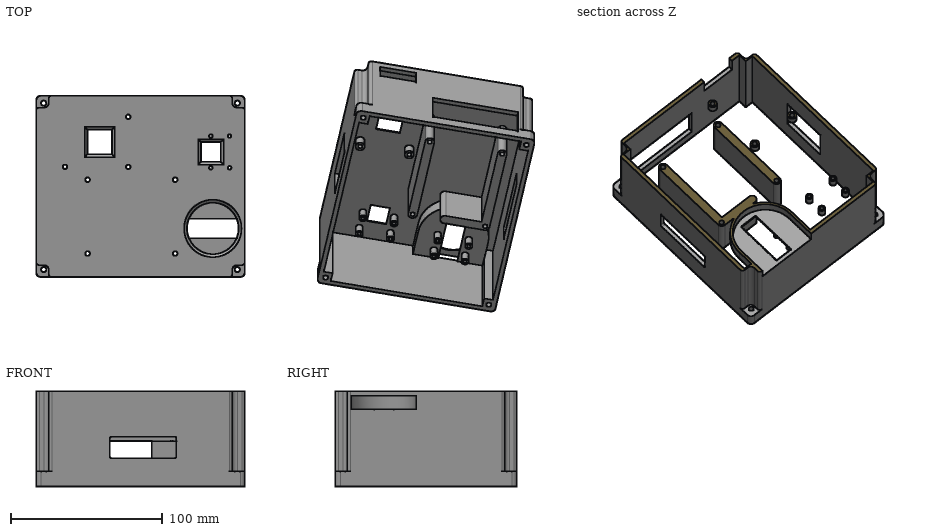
import cadquery as cq

LENGTH = 138.0
WIDTH = 120.0
HEIGHT = 63.0
WALL = 3.0
CEILING = HEIGHT - WALL
BASE_CORNER_RADIUS = 3.2
CUT_MARGIN = 1.0

FOOT_HEIGHT = 10.0
NOTCH_X = 8.3
NOTCH_Y = 7.9
NOTCH_WALL = 1.0
NOTCH_INNER_RADIUS = 3.1
NOTCH_OUTER_RADIUS = 2.1
FOOT_HOLE_X = 64.0
FOOT_HOLE_Y = 55.0
FOOT_HOLE_DIAMETER = 3.3
CORNERS = [(sx, sy) for sx in (-1, 1) for sy in (-1, 1)]

BEVEL = 2.0
DISPLAY_SIZE = 16.0
DISPLAY_CENTER = (-27.0, 29.4)
SENSOR_SIZE = 12.9
SENSOR_CENTER = (46.5, 22.8)
LENS_DIAMETER = 34.0
LENS_CENTER = (47.8, -27.8)

SCREW_BOSS_DIAMETER = 6.0
BOARD_PILOT_DIAMETER = 2.8
BOARD_BOSS_LENGTH = 7.0
BOARD_HOLES = [(-8.1, 46.0), (-8.1, 12.9), (-49.9, 12.9)]

SENSOR_BOSS_DIAMETER = 4.75
SENSOR_PILOT_DIAMETER = 2.2
SENSOR_BOSS_LENGTH = 7.7
SENSOR_PITCH_X = 12.4
SENSOR_PITCH_Y = 21.0

RIB_BOTTOM = 30.0
RIB_PILOT_DIAMETER = 2.93
RIB_LEFT_X = -35.0
RIB_RIGHT_X = 22.9
RIB_FRONT_Y = -44.4
RIB_BACK_Y = 4.4
SIDE_RIB_END_Y = -17.2

TRAY_RADIUS = 21.5
TRAY_WALL = 2.0
TRAY_FLOOR = 51.0
TRAY_FLOOR_THICKNESS = 1.2
TRAY_SLOT_WIDTH = 12.8

FRONT_SLOT_X = (-20.2, 23.7)
FRONT_SLOT_Z = (18.8, 32.9)
FRONT_SLOT_RADIUS = 1.0
LOWER_WINDOW_Y = (-48.4, 9.0)
LOWER_WINDOW_Z = (7.5, 30.7)
UPPER_WINDOW_Y = (20.1, 44.6)
UPPER_WINDOW_Z = (46.8, 57.8)
BACK_WINDOW_X = (-25.0, 7.3)
BACK_WINDOW_Z = (15.0, 39.2)


def box_between(x_limits, y_limits, z_limits):
    """Box spanning the given (low, high) limits on each axis."""
    limits = (x_limits, y_limits, z_limits)
    sizes = [high - low for low, high in limits]
    origin = tuple(low for low, high in limits)
    return cq.Workplane("XY").box(*sizes, centered=False).translate(origin)


def cylinder(center, diameter, bottom, top):
    """Upright cylinder between two heights."""
    plane = cq.Workplane("XY").workplane(offset=bottom)
    return plane.center(*center).circle(diameter / 2).extrude(top - bottom)


def corner_block(sx, sy, size_x, size_y, z_limits):
    """Rectangular block filling one corner of the outer rectangle."""
    x_limits = sorted((sx * LENGTH / 2, sx * (LENGTH / 2 - size_x)))
    y_limits = sorted((sy * WIDTH / 2, sy * (WIDTH / 2 - size_y)))
    return box_between(x_limits, y_limits, z_limits)


def upper_body():
    """Full-height block with rounded rectangular notches at its corners."""
    body = cq.Workplane("XY").box(LENGTH, WIDTH, HEIGHT, centered=(True, True, False))
    for sx, sy in CORNERS:
        body = body.cut(corner_block(sx, sy, NOTCH_X, NOTCH_Y, (0, HEIGHT)))
    for sx, sy in CORNERS:
        inner_x = sx * (LENGTH / 2 - NOTCH_X)
        inner_y = sy * (WIDTH / 2 - NOTCH_Y)
        middle = HEIGHT / 2
        inner = cq.selectors.NearestToPointSelector((inner_x, inner_y, middle))
        body = body.edges(inner).fillet(NOTCH_INNER_RADIUS)
        for point in ((sx * LENGTH / 2, inner_y, middle), (inner_x, sy * WIDTH / 2, middle)):
            outer = cq.selectors.NearestToPointSelector(point)
            body = body.edges(outer).fillet(NOTCH_OUTER_RADIUS)
    return body


def base():
    """Rounded rectangular base layer that forms the screw feet."""
    block = cq.Workplane("XY").box(LENGTH, WIDTH, FOOT_HEIGHT, centered=(True, True, False))
    return block.edges("|Z").fillet(BASE_CORNER_RADIUS)


def cavity():
    """Interior space, stepped in at the corners to keep the wall around each notch."""
    x_limits = (WALL - LENGTH / 2, LENGTH / 2 - WALL)
    y_limits = (WALL - WIDTH / 2, WIDTH / 2 - WALL)
    space = box_between(x_limits, y_limits, (0, CEILING))
    for sx, sy in CORNERS:
        post = corner_block(sx, sy, NOTCH_X + NOTCH_WALL, NOTCH_Y + NOTCH_WALL, (0, CEILING))
        space = space.cut(post)
    return space


def shell():
    """Enclosure walls and top plate with the drilled screw feet."""
    body = upper_body().union(base()).cut(cavity())
    for sx, sy in CORNERS:
        center = (sx * FOOT_HOLE_X, sy * FOOT_HOLE_Y)
        body = body.cut(cylinder(center, FOOT_HOLE_DIAMETER, 0, FOOT_HEIGHT))
    return body


def bevelled_square(center, size):
    """Cutter for a square opening that widens towards the outside."""
    straight = cq.Workplane("XY").workplane(offset=CEILING).center(*center)
    straight = straight.rect(size, size).extrude(WALL)
    top_size = size + 2 * BEVEL
    bevel = cq.Workplane("XY").workplane(offset=HEIGHT - BEVEL).center(*center).rect(size, size)
    bevel = bevel.workplane(offset=BEVEL).rect(top_size, top_size).loft(ruled=True)
    return straight.union(bevel)


def bevelled_circle(center, diameter):
    """Cutter for a round opening that widens towards the outside."""
    straight = cylinder(center, diameter, CEILING, HEIGHT)
    bevel = cq.Workplane("XY").workplane(offset=HEIGHT - BEVEL).center(*center).circle(diameter / 2)
    bevel = bevel.workplane(offset=BEVEL).circle(diameter / 2 + BEVEL).loft(ruled=True)
    return straight.union(bevel)


def rib(start, end):
    """Round-ended rib between two plan points, hanging from the ceiling."""
    span_x = end[0] - start[0]
    span_y = end[1] - start[1]
    middle = ((start[0] + end[0]) / 2, (start[1] + end[1]) / 2)
    angle = 0 if span_y == 0 else 90
    total = abs(span_x) + abs(span_y) + SCREW_BOSS_DIAMETER
    plane = cq.Workplane("XY").workplane(offset=RIB_BOTTOM).center(*middle)
    return plane.slot2D(total, SCREW_BOSS_DIAMETER, angle).extrude(CEILING - RIB_BOTTOM)


def add_standoffs(body, centers, boss_diameter, pilot_diameter, length, support, drill_top):
    """Hang drilled bosses from a supporting surface."""
    for center in centers:
        body = body.union(cylinder(center, boss_diameter, support - length, support))
        body = body.cut(cylinder(center, pilot_diameter, support - length, drill_top))
    return body


def sensor_pattern(center):
    """Four sensor screw places around a sensing opening."""
    rows = (-SENSOR_PITCH_Y / 2, SENSOR_PITCH_Y / 2)
    return [(center[0] + dx, center[1] + dy) for dx in (0, SENSOR_PITCH_X) for dy in rows]


def add_ribs(body):
    """Two long ribs along X and a short one along Y, drilled at the four board corners."""
    for y in (RIB_FRONT_Y, RIB_BACK_Y):
        body = body.union(rib((RIB_LEFT_X, y), (RIB_RIGHT_X, y)))
    body = body.union(rib((RIB_RIGHT_X, RIB_FRONT_Y), (RIB_RIGHT_X, SIDE_RIB_END_Y)))
    for x in (RIB_LEFT_X, RIB_RIGHT_X):
        for y in (RIB_FRONT_Y, RIB_BACK_Y):
            body = body.cut(cylinder((x, y), RIB_PILOT_DIAMETER, RIB_BOTTOM, HEIGHT))
    return body


def tray_shape(radius, end_x, bottom):
    """Half-round plan shape running straight to end_x, from a height up to the ceiling."""
    x, y = LENS_CENTER
    plan = cq.Workplane("XY").workplane(offset=bottom).moveTo(end_x, y - radius).lineTo(x, y - radius)
    plan = plan.threePointArc((x - radius, y), (x, y + radius)).lineTo(end_x, y + radius).close()
    return plan.extrude(CEILING - bottom)


def add_tray(body):
    """Slotted tray with its loading opening in the +X wall and sensor standoffs below."""
    underside = TRAY_FLOOR - TRAY_FLOOR_THICKNESS
    inner_x = LENGTH / 2 - WALL
    body = body.union(tray_shape(TRAY_RADIUS + TRAY_WALL, inner_x, underside))
    body = body.cut(tray_shape(TRAY_RADIUS, LENGTH / 2 + CUT_MARGIN, TRAY_FLOOR))
    body = add_standoffs(body, sensor_pattern(LENS_CENTER), SENSOR_BOSS_DIAMETER,
                         SENSOR_PILOT_DIAMETER, SENSOR_BOSS_LENGTH, underside, underside)
    slot_x = (LENS_CENTER[0] - LENS_DIAMETER / 2, inner_x)
    slot_y = (LENS_CENTER[1] - TRAY_SLOT_WIDTH / 2, LENS_CENTER[1] + TRAY_SLOT_WIDTH / 2)
    return body.cut(box_between(slot_x, slot_y, (underside, TRAY_FLOOR)))


def cut_wall_windows(body):
    """Windows through the -Y, +Y and -X walls."""
    front_wall = (-WIDTH / 2, WALL - WIDTH / 2)
    back_wall = (WIDTH / 2 - WALL, WIDTH / 2)
    left_wall = (-LENGTH / 2, WALL - LENGTH / 2)
    front_slot = box_between(FRONT_SLOT_X, front_wall, FRONT_SLOT_Z)
    body = body.cut(front_slot.edges("|Y").fillet(FRONT_SLOT_RADIUS))
    body = body.cut(box_between(BACK_WINDOW_X, back_wall, BACK_WINDOW_Z))
    body = body.cut(box_between(left_wall, LOWER_WINDOW_Y, LOWER_WINDOW_Z))
    return body.cut(box_between(left_wall, UPPER_WINDOW_Y, UPPER_WINDOW_Z))


enclosure = add_tray(shell())
enclosure = add_ribs(enclosure)
enclosure = add_standoffs(enclosure, BOARD_HOLES, SCREW_BOSS_DIAMETER, BOARD_PILOT_DIAMETER,
                          BOARD_BOSS_LENGTH, CEILING, HEIGHT)
enclosure = add_standoffs(enclosure, sensor_pattern(SENSOR_CENTER), SENSOR_BOSS_DIAMETER,
                          SENSOR_PILOT_DIAMETER, SENSOR_BOSS_LENGTH, CEILING, HEIGHT)
enclosure = enclosure.cut(bevelled_square(DISPLAY_CENTER, DISPLAY_SIZE))
enclosure = enclosure.cut(bevelled_square(SENSOR_CENTER, SENSOR_SIZE))
enclosure = enclosure.cut(bevelled_circle(LENS_CENTER, LENS_DIAMETER))
enclosure = cut_wall_windows(enclosure)

result = enclosure